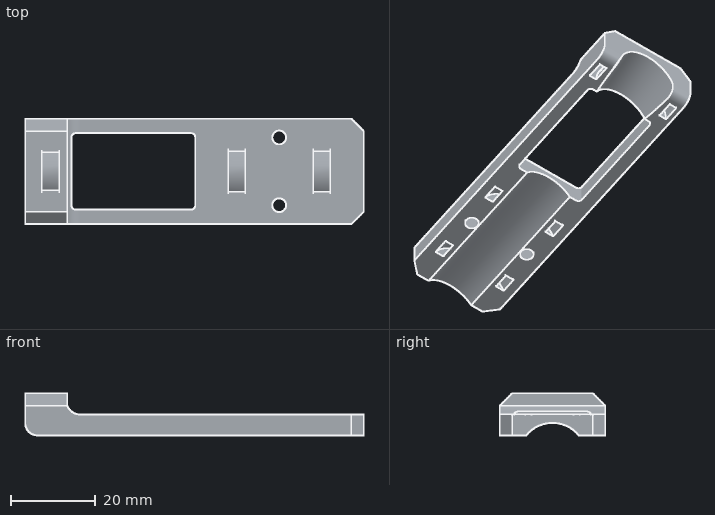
import cadquery as cq
import math

length = 80.0
width = 25.0
height = 10.0
plate_thickness = height / 2
block_length = 10.0
chamfer = 3.0
nose_radius = 3.0
blend_radius = 3.2
blend_end = 13.0

window_start = 11.0
window_end = 40.2
window_width = 18.0
window_corner_radius = 1.0

hole_diameter = 3.2
hole_x = 60.0
hole_spacing = 16.0

groove_radius = 8.0
plate_groove_axis_z = -5.0
block_groove_axis_z = -1.1
block_tilt = 15.0

plate_strap_width = 4.0
block_strap_width = 4.2
strap_inner_radius = 9.2
strap_outer_radius = 11.1
plate_strap_positions = (50.0, 70.0)
block_strap_x = 6.0
block_strap_z = -0.2


def make_body():
    """Side profile with a rounded nose and a concave step down to the plate."""
    blend_center_z = plate_thickness + blend_radius
    blend_run = blend_end - block_length
    blend_start_z = blend_center_z - math.sqrt(blend_radius**2 - blend_run**2)
    start_angle = math.atan2(blend_start_z - blend_center_z, -blend_run)
    middle_angle = (start_angle - math.pi / 2) / 2
    blend_middle = (
        blend_end + blend_radius * math.cos(middle_angle),
        blend_center_z + blend_radius * math.sin(middle_angle),
    )
    nose_middle = nose_radius * (1 - math.sqrt(0.5))
    body = (
        cq.Workplane("XZ")
        .moveTo(nose_radius, 0)
        .lineTo(length, 0)
        .lineTo(length, plate_thickness)
        .lineTo(blend_end, plate_thickness)
        .threePointArc(blend_middle, (block_length, blend_start_z))
        .lineTo(block_length, height)
        .lineTo(0, height)
        .lineTo(0, nose_radius)
        .threePointArc((nose_middle, nose_middle), (nose_radius, 0))
        .close()
        .extrude(width / 2, both=True)
    )
    body = body.edges("|X and >Z").chamfer(chamfer)
    return body.edges("|Z and >X").chamfer(chamfer)


def axis_plane(x, z, tilt=0.0):
    """Plane whose normal runs toward +X, dipping by the tilt angle."""
    angle = math.radians(tilt)
    direction = (math.cos(angle), 0, -math.sin(angle))
    return cq.Plane(origin=(x, 0, z), xDir=(0, 1, 0), normal=direction)


def strap_slot(x, z, strap_width):
    """Ring that opens through the top face and the underside."""
    return (
        cq.Workplane(axis_plane(x, z))
        .circle(strap_outer_radius)
        .circle(strap_inner_radius)
        .extrude(strap_width / 2, both=True)
    )


def make_window():
    return (
        cq.Workplane("XY")
        .center((window_start + window_end) / 2, 0)
        .rect(window_end - window_start, window_width)
        .extrude(height)
        .edges("|Z")
        .fillet(window_corner_radius)
    )


def make_holes():
    return (
        cq.Workplane("XY")
        .pushPoints([(hole_x, -hole_spacing / 2), (hole_x, hole_spacing / 2)])
        .circle(hole_diameter / 2)
        .extrude(height)
    )


block_groove = (
    cq.Workplane(axis_plane(0, block_groove_axis_z, block_tilt))
    .circle(groove_radius)
    .extrude(2 * block_length, both=True)
)
plate_groove = (
    cq.Workplane(axis_plane(0, plate_groove_axis_z))
    .circle(groove_radius)
    .extrude(length)
)

result = make_body().cut(block_groove).cut(plate_groove).cut(make_window()).cut(make_holes())
for strap_x in plate_strap_positions:
    result = result.cut(strap_slot(strap_x, plate_groove_axis_z, plate_strap_width))
result = result.cut(strap_slot(block_strap_x, block_strap_z, block_strap_width))